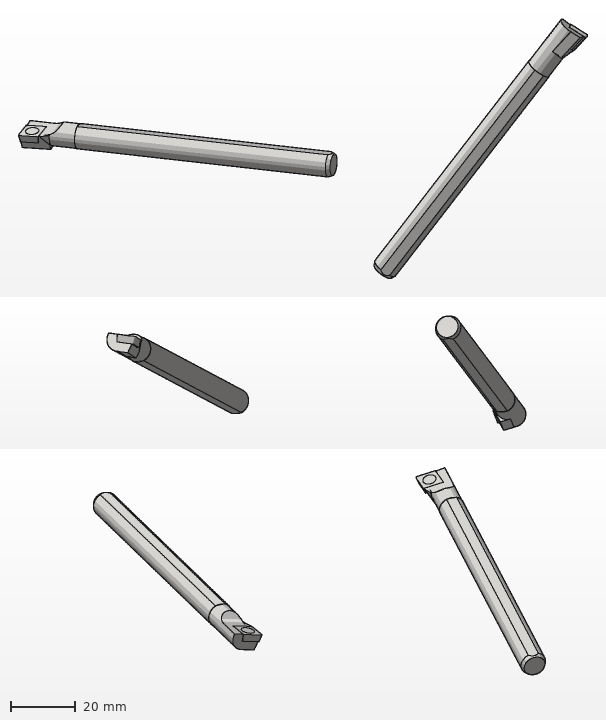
import cadquery as cq
import math

BAR_END = 101.1
SHANK_DIAMETER = 8.0
SHANK_START = 17.8
FLAT_HEIGHT = 3.6
END_CHAMFER_LENGTH = 1.3
END_CHAMFER_DEPTH = 0.6
NECK_DIAMETER = 7.8
NECK_RADIUS = NECK_DIAMETER / 2

ROLL_ANGLE = 12.5
LEAD_ANGLE = 5.0
FACE_HEIGHT = 1.4
FRONT_FACE_X = 0.8
HEAD_LENGTH = 9.5
FLANK_TOP_Y = -5.7
FLANK_BOTTOM_Y = -4.1
FLANK_RUNOUT_X = 7.1
RUNOUT_Y = -5.0
WEDGE_ROOT_Y = -0.8
RAMP_START_X = 8.4
RAMP_RADIUS = 5.1
CUTTER_SIZE = 20.2

TIP_Y = -5.8
INSERT_WIDTH = 6.4
INSERT_ANGLE = 90.0 - 2 * LEAD_ANGLE
INSERT_SIDE = INSERT_WIDTH / math.sin(math.radians(INSERT_ANGLE))
INSERT_THICKNESS = 2.4
RELIEF_ANGLE = 7.0
NOSE_RADIUS = 0.4
SCREW_HEAD_DIAMETER = 4.1
SCREW_HEAD_HEIGHT = 1.2
SCREW_SHAFT_DIAMETER = 2.8

LEAD_COS = math.cos(math.radians(LEAD_ANGLE))
LEAD_SIN = math.sin(math.radians(LEAD_ANGLE))

NOSE_SETBACK = NOSE_RADIUS / math.sin(math.radians(INSERT_ANGLE / 2))
CORNER_X = NOSE_RADIUS - NOSE_SETBACK * math.cos(math.radians(45))
CORNER_Y = TIP_Y + CORNER_X
LONG_STEP = INSERT_SIDE * LEAD_COS
SHORT_STEP = INSERT_SIDE * LEAD_SIN
INSERT_CENTER = (
    CORNER_X + (LONG_STEP + SHORT_STEP) / 2,
    CORNER_Y + (LONG_STEP + SHORT_STEP) / 2,
)


def roll(body):
    """Turn a body from the rolled head frame into the bar frame."""
    return body.rotate((0, 0, 0), (1, 0, 0), ROLL_ANGLE)


def make_insert_blank():
    """Rhombic insert with relieved sides and one rounded cutting nose."""
    outline = [
        (CORNER_X, CORNER_Y),
        (CORNER_X + LONG_STEP, CORNER_Y + SHORT_STEP),
        (CORNER_X + LONG_STEP + SHORT_STEP, CORNER_Y + LONG_STEP + SHORT_STEP),
        (CORNER_X + SHORT_STEP, CORNER_Y + LONG_STEP),
    ]
    blank = (
        cq.Workplane("XY", origin=(0, 0, FACE_HEIGHT))
        .polyline(outline).close()
        .extrude(-INSERT_THICKNESS, taper=RELIEF_ANGLE)
    )
    nose_edge = cq.selectors.NearestToPointSelector(
        (CORNER_X, CORNER_Y, FACE_HEIGHT - INSERT_THICKNESS / 2)
    )
    return roll(blank.edges("not #Z").edges(nose_edge).fillet(NOSE_RADIUS))


def make_screw_post():
    """Stepped screw, flush with the rake face and one piece with the bar."""
    head = (
        cq.Workplane("XY", origin=(*INSERT_CENTER, FACE_HEIGHT))
        .circle(SCREW_HEAD_DIAMETER / 2).extrude(-SCREW_HEAD_HEIGHT)
    )
    shaft = (
        cq.Workplane("XY", origin=(*INSERT_CENTER, FACE_HEIGHT))
        .circle(SCREW_SHAFT_DIAMETER / 2).extrude(-INSERT_THICKNESS)
    )
    return roll(head.union(shaft))


def make_shank():
    """Round shank with upper and lower flats and a chamfered rear end."""
    radius = SHANK_DIAMETER / 2
    length = BAR_END - SHANK_START
    shank = cq.Workplane("YZ", origin=(SHANK_START, 0, 0)).circle(radius).extrude(length)
    shank = shank.faces(">X").edges().chamfer(END_CHAMFER_LENGTH, END_CHAMFER_DEPTH)
    between_flats = (
        cq.Workplane("XY")
        .box(length, SHANK_DIAMETER, 2 * FLAT_HEIGHT, centered=(False, True, True))
        .translate((SHANK_START, 0, 0))
    )
    return shank.intersect(between_flats)


def make_wedge():
    """Overhanging support below the insert, running along its lead angle."""
    section = [
        (WEDGE_ROOT_Y, -NECK_RADIUS),
        (FLANK_BOTTOM_Y, -NECK_RADIUS),
        (FLANK_TOP_Y, FACE_HEIGHT),
        (WEDGE_ROOT_Y, FACE_HEIGHT),
    ]
    wedge = cq.Workplane("YZ").polyline(section).close().extrude(HEAD_LENGTH)
    wedge = wedge.rotate((0, 0, 0), (0, 0, 1), LEAD_ANGLE)
    runout = [
        (-1, -CUTTER_SIZE),
        (FLANK_RUNOUT_X, -CUTTER_SIZE),
        (FLANK_RUNOUT_X, RUNOUT_Y),
        (HEAD_LENGTH, -NECK_RADIUS),
        (HEAD_LENGTH, 0),
        (-1, 0),
    ]
    plan = (
        cq.Workplane("XY", origin=(0, 0, -CUTTER_SIZE / 2))
        .polyline(runout).close().extrude(CUTTER_SIZE)
    )
    return roll(wedge.intersect(plan))


def make_front_cutter():
    """Space ahead of the head: square at the back, led back under the insert."""
    setback = INSERT_THICKNESS * math.tan(math.radians(RELIEF_ANGLE))
    lead_slope = math.tan(math.radians(LEAD_ANGLE))
    break_y = TIP_Y + (FRONT_FACE_X - setback) / lead_slope
    low_y = -CUTTER_SIZE / 2
    outline = [
        (-CUTTER_SIZE, low_y),
        (setback + (low_y - TIP_Y) * lead_slope, low_y),
        (FRONT_FACE_X, break_y),
        (FRONT_FACE_X, -low_y),
        (-CUTTER_SIZE, -low_y),
    ]
    cutter = (
        cq.Workplane("XY", origin=(0, 0, -CUTTER_SIZE / 2))
        .polyline(outline).close().extrude(CUTTER_SIZE)
    )
    return roll(cutter)


def make_rake_cutter():
    """Space above the rake face, ending in a concave ramp up to the neck."""
    cutter = (
        cq.Workplane("XZ", origin=(0, CUTTER_SIZE / 2, 0))
        .moveTo(-CUTTER_SIZE, FACE_HEIGHT)
        .lineTo(RAMP_START_X, FACE_HEIGHT)
        .radiusArc((RAMP_START_X + RAMP_RADIUS, FACE_HEIGHT + RAMP_RADIUS), -RAMP_RADIUS)
        .lineTo(-CUTTER_SIZE, FACE_HEIGHT + RAMP_RADIUS)
        .close().extrude(CUTTER_SIZE)
    )
    pivot = (RAMP_START_X, 0, 0)
    pivot_top = (RAMP_START_X, 0, 1)
    return roll(cutter.rotate(pivot, pivot_top, -LEAD_ANGLE))


def make_bar(insert_blank, screw_post):
    """Tool bar with shank, neck, relieved head, insert pocket and screw."""
    neck = cq.Workplane("YZ").circle(NECK_RADIUS).extrude(SHANK_START)
    head = neck.union(make_wedge()).cut(make_front_cutter()).cut(make_rake_cutter())
    return head.union(make_shank()).cut(insert_blank).union(screw_post)


insert_blank = make_insert_blank()
screw_post = make_screw_post()
bar = make_bar(insert_blank, screw_post)
insert = insert_blank.cut(screw_post)

result = cq.Compound.makeCompound([bar.solids().val(), insert.solids().val()])